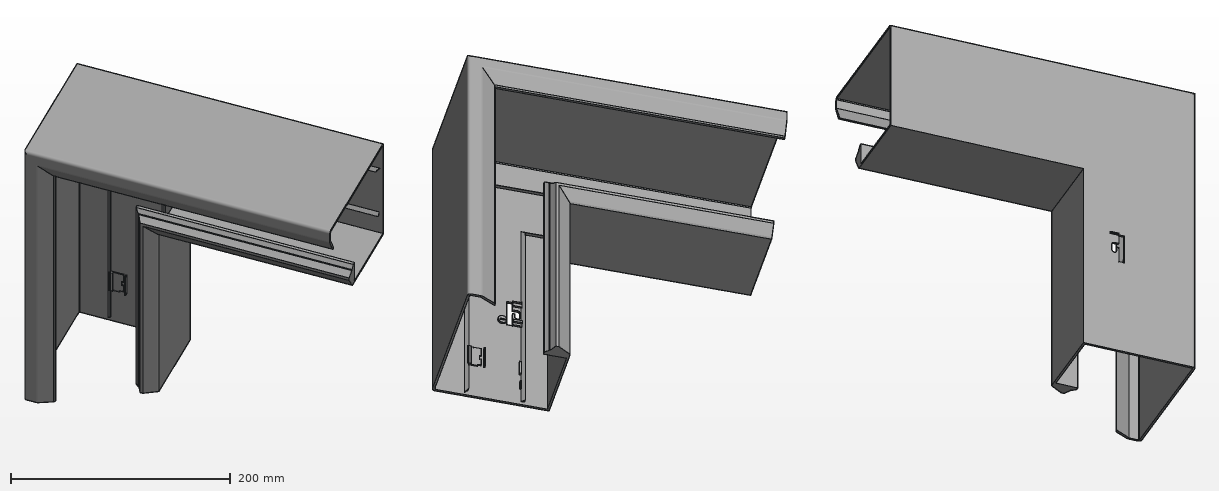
import cadquery as cq
import math

length = 300.0
depth = 133.0
width = 110.5
wall = 2.0
edge_radius = 3.0

front_y = -depth / 2
back_y = depth / 2
floor_y = back_y - wall

outer_lip_bend_u = (12.3, 13.8)
outer_lip_end_u = 27.5
outer_lip_drop = 7.8
bend_drop = 0.3
edge_bevel = 1.2

inner_bend_y = -11.7
inner_front_y = -18.5
inner_lip_back_y = -5.5
inner_lip_start_u = 86.7
inner_lip_steps = [
    (inner_lip_start_u, -8.5), (87.5, -9.0), (90.3, -11.7), (91.2, -12.0),
    (93.5, -16.2), (94.8, inner_front_y), (97.8, inner_front_y),
]

ridge_height = 3.0
outer_ridge_u = (30.3, 33.5)
inner_ridge_u = (83.5, 86.7)
ridge_end_gap = 3.5
cutter_reach = 6.0


def upright_prism(points):
    """Extrude a (u, y) outline along the whole upright arm."""
    return cq.Workplane("XY").polyline(points).close().extrude(length)


def floor_block(u_range, z_range, height):
    """Block standing on the duct floor; its root is sunk halfway into the floor sheet."""
    root = wall / 2
    return cq.Workplane("XY").box(
        u_range[1] - u_range[0], height + root, z_range[1] - z_range[0], centered=False
    ).translate((u_range[0], floor_y - height, z_range[0]))


def front_prism(outline):
    """Extrude a closed (u, z) outline drawn on the XZ plane through the duct floor."""
    return outline.extrude(cutter_reach, both=True).translate((0, floor_y, 0))


def floor_opening(u_range, z_range):
    """Rectangular cutter that passes through the duct floor."""
    return cq.Workplane("XY").box(
        u_range[1] - u_range[0], 2 * cutter_reach, z_range[1] - z_range[0], centered=False
    ).translate((u_range[0], floor_y - cutter_reach, z_range[0]))


def outer_shell():
    """Outer wall, floor and inner wall with the front lip of the outer wall."""
    r = edge_radius
    lip_end_y = front_y + outer_lip_drop
    arc_offset = r * (1 - math.sqrt(0.5))
    outline = (
        cq.Workplane("XY")
        .moveTo(outer_lip_end_u, lip_end_y)
        .lineTo(outer_lip_end_u - edge_bevel, lip_end_y - edge_bevel)
        .lineTo(outer_lip_bend_u[1], front_y + bend_drop)
        .lineTo(outer_lip_bend_u[0], front_y)
        .lineTo(r, front_y)
        .threePointArc((arc_offset, front_y + arc_offset), (0, front_y + r))
        .lineTo(0, back_y - r)
        .threePointArc((arc_offset, back_y - arc_offset), (r, back_y))
        .lineTo(width, back_y)
        .lineTo(width, inner_lip_back_y)
        .lineTo(width - wall, inner_lip_back_y)
        .lineTo(width - wall, floor_y)
        .lineTo(r, floor_y)
        .lineTo(wall, back_y - r)
        .lineTo(wall, front_y + r)
        .lineTo(r, front_y + wall)
        .lineTo(outer_lip_bend_u[0], front_y + wall)
        .lineTo(outer_lip_end_u, lip_end_y + wall)
        .close()
    )
    return outline.extrude(length)


def inner_lip():
    """Solid stepped lip along the front edge of the inner wall."""
    closing = [
        (width - edge_bevel, inner_bend_y),
        (width, inner_bend_y + edge_bevel),
        (width, inner_lip_back_y),
        (inner_lip_start_u, inner_lip_back_y),
    ]
    return upright_prism(inner_lip_steps + closing)


def ridge(u_range):
    """Ridge with a ramp facing the outer wall and a steep inner flank."""
    start, crest = u_range
    root_y = floor_y + wall / 2
    return upright_prism([
        (start, root_y), (start, floor_y), (crest, floor_y - ridge_height), (crest, root_y)
    ])


def trimmed_ridges():
    """Both floor ridges, stopped short of the open end of the arm."""
    bevel_start = outer_lip_end_u
    reach = outer_ridge_u[1] - bevel_start
    end_bevel = (
        cq.Workplane("XZ")
        .polyline([(bevel_start, 0), (bevel_start + reach, 0), (bevel_start + reach, reach)])
        .close()
    )
    square_end = floor_opening(inner_ridge_u, (0, ridge_end_gap))
    outer = ridge(outer_ridge_u).cut(end_bevel.extrude(depth, both=True))
    return outer.union(ridge(inner_ridge_u).cut(square_end))


def corner():
    """Cut the upright arm on the diagonal and mirror it into the level arm."""
    below_diagonal = (
        cq.Workplane("XZ")
        .polyline([(0, 0), (length, 0), (0, length)])
        .close()
        .extrude(depth, both=True)
    )
    upright = outer_shell().union(inner_lip()).union(trimmed_ridges()).intersect(below_diagonal)
    level = upright.val().mirror(cq.Vector(1, 0, 1), cq.Vector(0, 0, length))
    return upright.union(cq.Workplane(level))


slot_u = (70.2, 75.5)
slot_z = (97.0, 126.0)
window_right_u = 84.0
slit_z = (125.7, 127.8)
hook_neck_z = (112.2, 116.7)
hook_tip_u = 80.0
hook_tip_radius = 2.5
hook_tip_z = 108.5
bar_height = 1.8
upper_bar_z = (120.5, 124.2)
lower_bar_z = (96.5, 101.7)
lower_bar_step_z = 99.3


def latch_window():
    """Tall slot with a hooked branch and a fine slit beside it."""
    hook_top_z = hook_neck_z[1] - hook_tip_radius
    neck = floor_opening((slot_u[0], hook_tip_u), hook_neck_z)
    tip_length = hook_top_z - hook_tip_z + 2 * hook_tip_radius
    tip = front_prism(
        cq.Workplane("XZ")
        .center(hook_tip_u, (hook_top_z + hook_tip_z) / 2)
        .slot2D(tip_length, 2 * hook_tip_radius, 90)
    )
    slit = floor_opening((slot_u[1], window_right_u), slit_z)
    return floor_opening(slot_u, slot_z).union(neck).union(tip).union(slit)


def latch_bars():
    """Raised bars above and below the hooked branch."""
    bar_u = (slot_u[1], window_right_u)
    upper = floor_block(bar_u, upper_bar_z, bar_height)
    lower = floor_block(bar_u, lower_bar_z, bar_height)
    lower_step = floor_block(bar_u, (lower_bar_step_z, lower_bar_z[1]), 2 * bar_height)
    return upper.union(lower).union(lower_step)


screw_u = 65.7
screw_z = 101.5
screw_radius = 4.2
screw_height = 1.8
screw_slot_width = 1.2


def screw_head():
    """Round slotted screw head on the floor beside the slot."""
    head = (
        cq.Workplane("XZ", origin=(screw_u, floor_y + wall / 2, screw_z))
        .circle(screw_radius)
        .extrude(screw_height + wall / 2)
    )
    half_slot = screw_slot_width / 2
    drive = floor_block(
        (screw_u - screw_radius / 2, screw_u + screw_radius),
        (screw_z - half_slot, screw_z + half_slot),
        screw_height,
    )
    return head.cut(drive)


clip_z = (38.0, 60.0)
clip_plate_u = (32.5, 46.0)
clip_step_u = 36.0
clip_rim_u = (48.0, 49.2)
clip_notch_z = (46.8, 51.0)
clip_notch_depth = 1.8
clip_corner = (3.5, 1.5)
clip_height = 1.2


def cable_clip():
    """Stepped and notched plate beside the outer ridge, with an upright rim."""
    step = floor_block((clip_plate_u[0], clip_step_u), clip_z, 2 * clip_height)
    plate = floor_block(clip_plate_u, clip_z, clip_height)
    plate_end = clip_plate_u[1]
    notch = floor_block((plate_end - clip_notch_depth, plate_end), clip_notch_z, clip_height)
    corner_cut = floor_block(
        (plate_end - clip_corner[0], plate_end), (clip_z[0], clip_z[0] + clip_corner[1]), clip_height
    )
    rim = floor_block(clip_rim_u, clip_z, 3 * clip_height)
    return plate.cut(notch).cut(corner_cut).union(step).union(rim)


large_stop = ((81.5, inner_ridge_u[0]), (37.0, 51.5))
small_stop = ((82.2, inner_ridge_u[0]), (19.0, 27.5))
stop_height = 2.5


def ridge_stops():
    """Two small stops against the inner ridge."""
    return floor_block(*large_stop, stop_height).union(floor_block(*small_stop, stop_height))


duct = corner().cut(latch_window())
duct = duct.union(latch_bars()).union(screw_head().cut(latch_window()))
duct = duct.union(cable_clip()).union(ridge_stops())

result = duct.translate((-length / 2, 0, -length / 2))